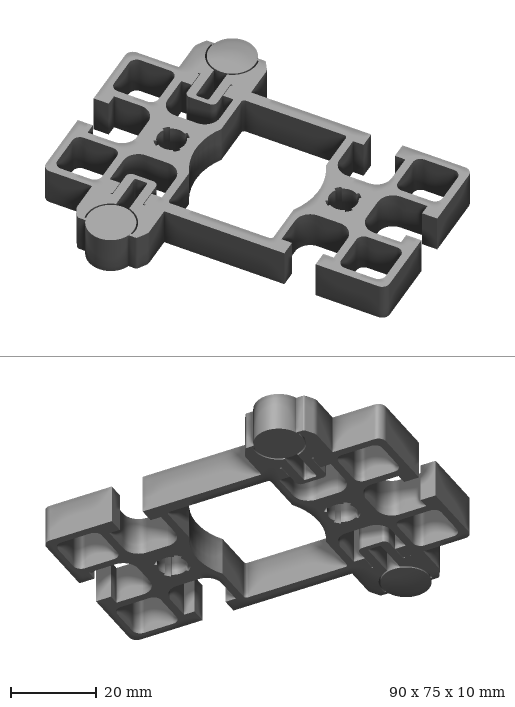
import cadquery as cq
import math

thickness = 10.0
profile_length = 90.0
profile_width = profile_length / 2
profile_corner_radius = 2.0
cell_offset = profile_length / 4
wall = 2.0

slot_mouth = 8.2
slot_width = 13.7
slot_depth = 14.9
slot_lip = 2 * wall
slot_floor_radius = 4.0

corner_chamber = cell_offset - slot_width / 2 - 2 * wall
corner_chamber_offset = cell_offset - wall - corner_chamber / 2
corner_chamber_radius = 2.0
centre_chamber_length = 2 * (cell_offset - slot_width / 2 - wall)
centre_chamber_wall = 3.1
centre_chamber_radius = 0.7
centre_bore_radius = 16.0

core_hole_radius = 3.6
core_corner_radius = 4.2
core_corner_angle = 25.0

pin_diameter = 12.0
pin_offset = 31.5

shoulder = profile_width / 2
clamp_width = 18.9
clamp_top = 33.5
clamp_chamfer_width = 1.7
clamp_chamfer_height = 2.7
clamp_chamfer_blend = 2.4
clamp_top_blend = 0.6
stem_width = 7.9
stem_bottom = 14.6
stem_corner_radius = 1.35
relief_width = 0.5
relief_height = 0.3
slit_width = 3.4
slit_bottom = 15.75
slit_corner_radius = 0.45
socket_radius = 6.4
socket_top = 32.8


def block(x_min, x_max, y_min, y_max):
    """Full-thickness rectangular block between the given limits."""
    return (
        cq.Workplane("XY")
        .rect(x_max - x_min, y_max - y_min)
        .extrude(thickness)
        .translate(((x_min + x_max) / 2, (y_min + y_max) / 2, 0))
    )


def cylinder(radius, x, y):
    """Full-thickness vertical cylinder."""
    return cq.Workplane("XY").center(x, y).circle(radius).extrude(thickness)


def t_slot():
    """T-slot cutter that opens toward +Y, with the mouth plane at y = 0."""
    mouth = block(-slot_mouth / 2, slot_mouth / 2, -slot_depth / 2, 0)
    inside = block(-slot_width / 2, slot_width / 2, -slot_depth, -slot_lip)
    return mouth.union(inside.edges("|Z and <Y").fillet(slot_floor_radius))


def core_hole():
    """Core hole cutter centred on the origin."""
    hole = cylinder(core_hole_radius, 0, 0)
    half_angle = math.radians(core_corner_angle / 2)
    start = (core_corner_radius * math.cos(half_angle), -core_corner_radius * math.sin(half_angle))
    end = (start[0], -start[1])
    corner = (
        cq.Workplane("XY")
        .lineTo(*start)
        .threePointArc((core_corner_radius, 0), end)
        .close()
        .extrude(thickness)
    )
    for angle in (45, 135, 225, 315):
        hole = hole.union(corner.rotate((0, 0, 0), (0, 0, 1), angle))
    return hole


def centre_chamber():
    """Large middle chamber: a rounded rectangle widened by a bore on the profile axis."""
    half_length = centre_chamber_length / 2
    half_width = profile_width / 2 - centre_chamber_wall
    chamber = block(-half_length, half_length, -half_width, half_width)
    chamber = chamber.edges("|Z").fillet(centre_chamber_radius)
    return chamber.union(cylinder(centre_bore_radius, 0, 0))


def make_profile():
    half_length = profile_length / 2
    half_width = profile_width / 2
    profile = block(-half_length, half_length, -half_width, half_width)
    profile = profile.edges("|Z").fillet(profile_corner_radius)
    profile = profile.cut(centre_chamber())

    chamber = cq.Workplane("XY").rect(corner_chamber, corner_chamber).extrude(thickness)
    chamber = chamber.edges("|Z").fillet(corner_chamber_radius)
    long_side_slot = t_slot().translate((0, half_width, 0))
    end_slot = t_slot().rotate((0, 0, 0), (0, 0, 1), -90).translate((half_length, 0, 0))

    for side_x in (-1, 1):
        cell_x = side_x * cell_offset
        profile = profile.cut(core_hole().translate((cell_x, 0, 0)))
        profile = profile.cut(end_slot if side_x > 0 else end_slot.mirror("YZ"))
        for side_y in (-1, 1):
            slot = long_side_slot if side_y > 0 else long_side_slot.mirror("XZ")
            profile = profile.cut(slot.translate((cell_x, 0, 0)))
            chamber_x = cell_x + side_x * corner_chamber_offset
            chamber_y = side_y * corner_chamber_offset
            profile = profile.cut(chamber.translate((chamber_x, chamber_y, 0)))
    return profile


def clamp_head():
    """Jaw block that rests on the profile's long side, with blended chamfers at its top."""
    half_width = clamp_width / 2
    chamfer_bottom = clamp_top - clamp_chamfer_height
    top_half_width = half_width - clamp_chamfer_width
    head = (
        cq.Workplane("XY")
        .polyline([
            (-half_width, shoulder),
            (half_width, shoulder),
            (half_width, chamfer_bottom),
            (top_half_width, clamp_top),
            (-top_half_width, clamp_top),
            (-half_width, chamfer_bottom),
        ])
        .close()
        .extrude(thickness)
    )
    head = head.edges("|Z and >Y").fillet(clamp_top_blend)
    for side in (-1, 1):
        chamfer_foot = (side * half_width, chamfer_bottom, thickness / 2)
        head = head.edges(cq.NearestToPointSelector(chamfer_foot)).fillet(clamp_chamfer_blend)
    return head


def make_clamp():
    """Clamp on the +Y side of the profile, centred on x = 0."""
    half_stem = stem_width / 2
    stem = block(-half_stem, half_stem, stem_bottom, pin_offset)
    clamp = clamp_head().union(stem.edges("|Z and <Y").fillet(stem_corner_radius))

    for side in (-1, 1):
        relief = block(half_stem, half_stem + relief_width, shoulder, shoulder + relief_height)
        clamp = clamp.cut(relief if side > 0 else relief.mirror("YZ"))

    slit = block(-slit_width / 2, slit_width / 2, slit_bottom, pin_offset)
    clamp = clamp.cut(slit.edges("|Z and <Y").fillet(slit_corner_radius))

    below_tips = block(-clamp_width / 2, clamp_width / 2, stem_bottom, socket_top)
    clamp = clamp.cut(cylinder(socket_radius, 0, pin_offset).intersect(below_tips))
    return clamp.cut(make_pin())


def make_pin():
    """Pin on the +Y side of the profile, centred on x = 0."""
    return cylinder(pin_diameter / 2, 0, pin_offset)


def place(body, turn):
    """Move a body to the left-hand cell, after a turn that picks the side of the profile."""
    return body.rotate((0, 0, 0), (0, 0, 1), turn).translate((-cell_offset, 0, 0)).val()


profile = make_profile()
clamps = []
pins = []
for turn in (0, 180):
    clamps.append(place(make_clamp(), turn))
    pins.append(place(make_pin(), turn))

result = cq.Compound.makeCompound([profile.val(), *clamps, *pins])